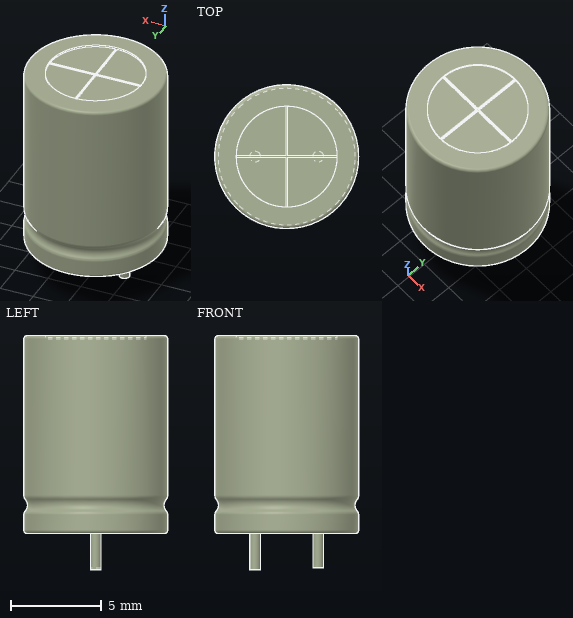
import cadquery as cq
import math

can_diameter = 8.0
can_height = 11.0
can_radius = can_diameter / 2
edge_radius = 0.2

groove_height = 1.58
groove_depth = 0.2
groove_radius = 0.5
groove_lip_radius = 0.3

vent_diameter = 5.6
vent_depth = 0.1
score_width = 0.1
score_depth = 0.1

lead_diameter = 0.6
lead_pitch = 3.5
long_lead_length = 2.0
short_lead_length = 1.9


def make_can():
    """Revolve the can profile, with its crimp groove and rounded rims."""
    centre_distance = groove_radius + groove_lip_radius
    radial_offset = centre_distance - groove_depth
    lip_offset = math.sqrt(centre_distance**2 - radial_offset**2)
    lip_centre_radius = can_radius - groove_lip_radius

    tangent_radius = lip_centre_radius + groove_lip_radius * radial_offset / centre_distance
    tangent_offset = lip_offset * groove_radius / centre_distance

    half_angle = math.asin(lip_offset / centre_distance) / 2
    lip_mid_radius = lip_centre_radius + groove_lip_radius * math.cos(half_angle)
    lip_mid_offset = lip_offset - groove_lip_radius * math.sin(half_angle)

    profile = (
        cq.Workplane("XZ")
        .moveTo(0, 0)
        .lineTo(can_radius, 0)
        .lineTo(can_radius, groove_height - lip_offset)
        .threePointArc(
            (lip_mid_radius, groove_height - lip_mid_offset),
            (tangent_radius, groove_height - tangent_offset),
        )
        .threePointArc(
            (can_radius - groove_depth, groove_height),
            (tangent_radius, groove_height + tangent_offset),
        )
        .threePointArc(
            (lip_mid_radius, groove_height + lip_mid_offset),
            (can_radius, groove_height + lip_offset),
        )
        .lineTo(can_radius, can_height)
        .lineTo(0, can_height)
        .close()
    )
    can = profile.revolve(360, (0, 0, 0), (0, 1, 0))
    return can.faces(">Z or <Z").edges().fillet(edge_radius)


def make_vent_cut():
    """Shallow round recess with a cross of score lines in its floor."""
    floor_height = can_height - vent_depth
    recess = cq.Workplane("XY", origin=(0, 0, floor_height)).circle(vent_diameter / 2).extrude(vent_depth)
    score_plane = cq.Workplane("XY", origin=(0, 0, floor_height - score_depth))
    cross = (
        score_plane.rect(vent_diameter, score_width)
        .extrude(score_depth)
        .union(score_plane.rect(score_width, vent_diameter).extrude(score_depth))
    )
    trim = score_plane.circle(vent_diameter / 2).extrude(score_depth)
    return recess.union(cross.intersect(trim))


def make_lead(x_position, length):
    """Round lead hanging from the underside of the can."""
    return cq.Workplane("XY", origin=(x_position, 0, 0)).circle(lead_diameter / 2).extrude(-length)


result = make_can().cut(make_vent_cut())
result = result.union(make_lead(-lead_pitch / 2, long_lead_length))
result = result.union(make_lead(lead_pitch / 2, short_lead_length))